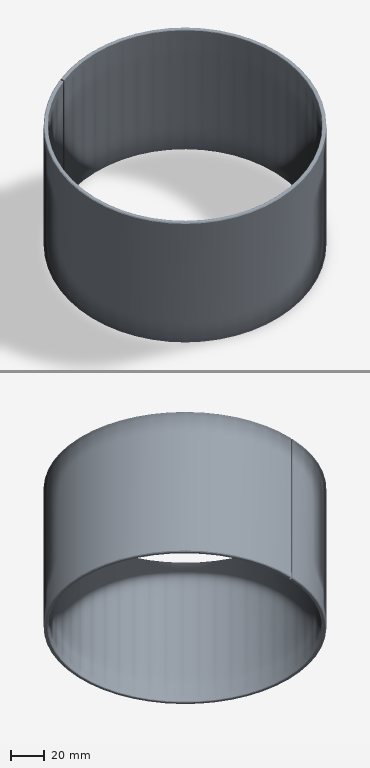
import cadquery as cq

outer_diameter = 170.0
height = 100.0
wall = 2.5
outer_chamfer = 0.5
inner_chamfer = 0.3
slit_width = 1.4

outer_radius = outer_diameter / 2
inner_radius = outer_radius - wall


def chamfered_cylinder(radius, chamfer):
    """Solid cylinder whose end edges change radius by a 45 degree chamfer.

    A positive chamfer narrows the ends; a negative one flares them.
    """
    end_radius = radius - chamfer
    chamfer_height = abs(chamfer)
    profile = (
        cq.Workplane("XZ")
        .moveTo(0, 0)
        .lineTo(end_radius, 0)
        .lineTo(radius, chamfer_height)
        .lineTo(radius, height - chamfer_height)
        .lineTo(end_radius, height)
        .lineTo(0, height)
        .close()
    )
    return profile.revolve(360, (0, 0, 0), (0, 1, 0))


def make_sleeve():
    """Thin tube with chamfers on the outer and inner edges of both rims."""
    body = chamfered_cylinder(outer_radius, outer_chamfer)
    bore = chamfered_cylinder(inner_radius, -inner_chamfer)
    return body.cut(bore)


def make_slit():
    """Full-height cutter through the -X wall, with one side on the XZ plane."""
    cutter = cq.Workplane("XY").box(outer_radius, slit_width, height, centered=False)
    return cutter.translate((-outer_radius, 0, 0))


result = make_sleeve().cut(make_slit())